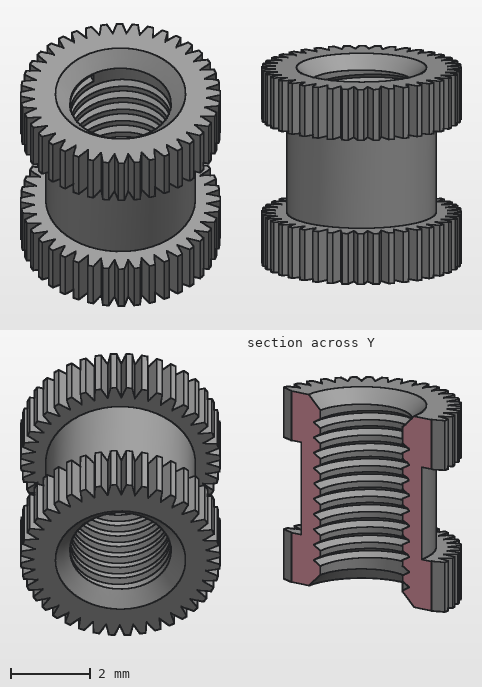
import cadquery as cq
import math

length = 5.0
body_radius = 1.875

collar_height = 1.3
tooth_count = 40
tip_radius = 2.5
root_radius = 2.17
tip_width = 0.15

bore_radius = 1.267
countersink_radius = 1.63
countersink_depth = 0.35

thread_major_radius = 1.475
thread_pitch = 0.4
thread_turns = 10
thread_flank_angle = math.radians(30)
thread_start_azimuth = 180
groove_overlap = 0.05

tooth_angle = 2 * math.pi / tooth_count
tip_half_angle = math.asin(tip_width / 2 / tip_radius)


def polar(radius, angle):
    """XY point at a radius and an angle from +X."""
    return (radius * math.cos(angle), radius * math.sin(angle))


def make_collar(base_z):
    """Toothed ring around the body: arc-tipped teeth with sharp V valleys, one valley on +X."""
    outline = cq.Workplane("XY").workplane(offset=base_z).moveTo(root_radius, 0)
    for tooth in range(tooth_count):
        centre = (tooth + 0.5) * tooth_angle
        outline = outline.lineTo(*polar(tip_radius, centre - tip_half_angle))
        outline = outline.threePointArc(
            polar(tip_radius, centre),
            polar(tip_radius, centre + tip_half_angle),
        )
        if tooth < tooth_count - 1:
            outline = outline.lineTo(*polar(root_radius, centre + tooth_angle / 2))
    return outline.close().moveTo(0, 0).circle(body_radius).extrude(collar_height)


def make_bore():
    """Plain bore and both countersinks as one turned profile."""
    return (
        cq.Workplane("XZ")
        .lineTo(countersink_radius, 0)
        .lineTo(bore_radius, countersink_depth)
        .lineTo(bore_radius, length - countersink_depth)
        .lineTo(countersink_radius, length)
        .lineTo(0, length)
        .close()
        .revolve(360, (0, 0, 0), (0, 1, 0))
    )


def make_thread_groove():
    """Sharp V groove swept along a helix, its open side reaching slightly into the bore."""
    thread_length = thread_turns * thread_pitch
    start_z = (length - thread_length) / 2
    inner_radius = bore_radius - groove_overlap
    half_width = (thread_major_radius - inner_radius) * math.tan(thread_flank_angle)
    helix = cq.Wire.makeHelix(thread_pitch, thread_length, bore_radius, lefthand=True)
    groove = (
        cq.Workplane("XZ")
        .moveTo(inner_radius, -half_width)
        .lineTo(thread_major_radius, 0)
        .lineTo(inner_radius, half_width)
        .close()
        .sweep(cq.Workplane(helix), isFrenet=True)
    )
    return groove.rotate((0, 0, 0), (0, 0, 1), thread_start_azimuth).translate((0, 0, start_z))


tube = cq.Workplane("XY").circle(body_radius).extrude(length)
tube = tube.cut(make_bore()).cut(make_thread_groove())
result = tube
for collar_base in (0, length - collar_height):
    result = result.union(make_collar(collar_base), glue=True)